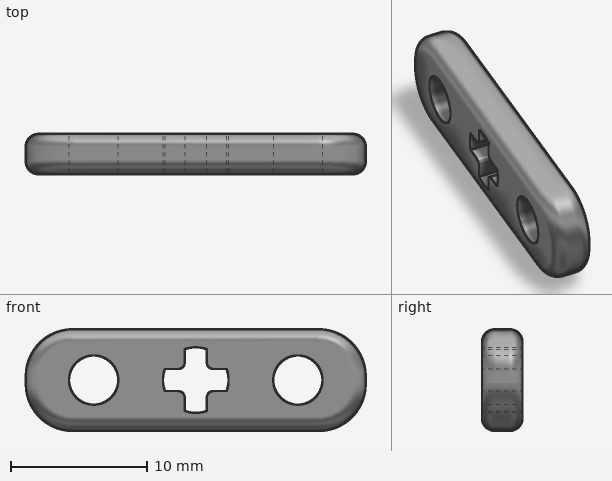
import cadquery as cq

length = 25.0
height = 7.5
thickness = 3.0
corner_radius = 3.5
edge_fillet = 1.0

hole_diameter = 3.6
hole_offset = 7.5

axle_diameter = 4.8
arm_width = 1.6
inner_corner_radius = 0.5


def make_plate():
    """Rounded bar with both face outlines filleted."""
    bar = cq.Workplane("XY").box(length, thickness, height)
    bar = bar.edges("|Y").fillet(corner_radius)
    return bar.faces("<Y or >Y").edges().fillet(edge_fillet)


def make_pin_holes():
    """Cylinders through the full thickness."""
    return (
        cq.Workplane("XZ")
        .pushPoints([(-hole_offset, 0), (hole_offset, 0)])
        .circle(hole_diameter / 2)
        .extrude(thickness / 2, both=True)
    )


def make_axle_hole():
    """Cross with rounded inner corners, trimmed to the axle circle."""
    horizontal_arm = cq.Workplane("XY").box(axle_diameter, thickness, arm_width)
    vertical_arm = cq.Workplane("XY").box(arm_width, thickness, axle_diameter)
    half_arm = arm_width / 2
    inner_corners = cq.selectors.BoxSelector(
        (-half_arm - inner_corner_radius, -thickness, -half_arm - inner_corner_radius),
        (half_arm + inner_corner_radius, thickness, half_arm + inner_corner_radius),
    )
    cross = horizontal_arm.union(vertical_arm)
    cross = cross.edges("|Y").edges(inner_corners).fillet(inner_corner_radius)
    envelope = (
        cq.Workplane("XZ")
        .circle(axle_diameter / 2)
        .extrude(thickness / 2, both=True)
    )
    return cross.intersect(envelope)


result = make_plate().cut(make_pin_holes()).cut(make_axle_hole())